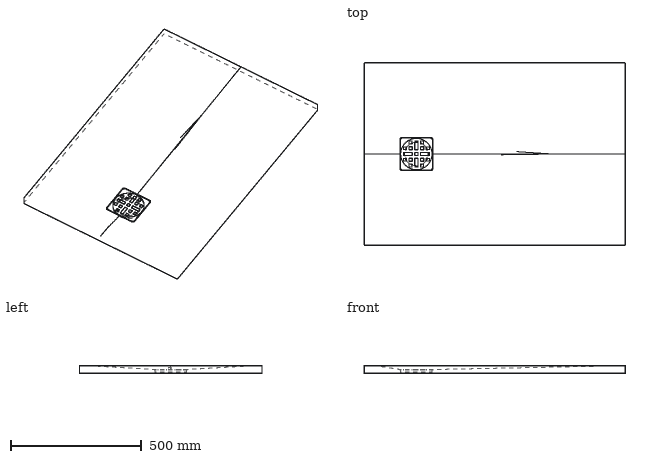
import cadquery as cq
import math

LENGTH = 1000.0
WIDTH = 700.0
HEIGHT = 30.0
CORNER_RADIUS = 5.0
TOP_EDGE_RADIUS = 1.0

RIM_WIDTH = 50.0
RIM_DROP = 1.0
RIM_OVERSHOOT = 10.0

FLOOR_CORNER_RADIUS = 20.0
FLOOR_FALL = 14.0

DRAIN_X = -300.0
RECESS_CORNER_RADIUS = 7.0
SUMP_DIAMETER = 120.0
SUMP_DEPTH = 8.0
OUTLET_DIAMETER = 90.0

GRATE_SIZE = 123.0
GRATE_THICKNESS = 2.0
GRATE_CORNER_RADIUS = 10.0
GRATE_GAP = 1.5
OPENING_WIDTH = 11.0
BAR_WIDTH = 11.0

FLOOR_LENGTH = LENGTH - 2 * RIM_WIDTH
FLOOR_WIDTH = WIDTH - 2 * RIM_WIDTH
FLOOR_TOP_Z = HEIGHT - RIM_DROP
RECESS_SIZE = GRATE_SIZE + 2 * GRATE_GAP
GRATE_TOP_Z = FLOOR_TOP_Z - FLOOR_FALL
LEDGE_Z = GRATE_TOP_Z - GRATE_THICKNESS
SUMP_Z = LEDGE_Z - SUMP_DEPTH
OPENING_PITCH = OPENING_WIDTH + BAR_WIDTH
SLOT_LENGTH = OPENING_PITCH + OPENING_WIDTH
SLOT_OFFSET = 1.5 * OPENING_PITCH

STRAIGHT_STEPS = 16
ARC_STEPS = 8


def straight_points(start, end):
    """Points from start up to, but not including, end, closer together near both ends."""
    (x0, y0), (x1, y1) = start, end
    fractions = [(1 - math.cos(math.pi * i / STRAIGHT_STEPS)) / 2 for i in range(STRAIGHT_STEPS)]
    return [(x0 + (x1 - x0) * f, y0 + (y1 - y0) * f) for f in fractions]


def arc_points(center, radius, start_angle):
    """Points along a clockwise quarter arc, without its last point."""
    angles = [start_angle - math.pi / 2 * i / ARC_STEPS for i in range(ARC_STEPS)]
    return [(center[0] + radius * math.cos(a), center[1] + radius * math.sin(a)) for a in angles]


def smooth_outline(length, width, radius, center_x, z):
    """Rounded rectangle made of two smooth curves that meet on the X axis."""
    left = center_x - length / 2
    right = center_x + length / 2
    back = width / 2
    arc_y = back - radius
    back_half = (
        straight_points((left, 0), (left, arc_y))
        + arc_points((left + radius, arc_y), radius, math.pi)
        + straight_points((left + radius, back), (right - radius, back))
        + arc_points((right - radius, arc_y), radius, math.pi / 2)
        + straight_points((right, arc_y), (right, 0))
        + [(right, 0)]
    )
    front_half = [(x, -y) for x, y in reversed(back_half)]
    numbers = range(len(back_half))
    halves = [
        cq.Edge.makeSpline([cq.Vector(x, y, z) for x, y in half], parameters=numbers)
        for half in (back_half, front_half)
    ]
    return cq.Wire.assembleEdges(halves)


def rounded_block(length, width, height, radius, center_x, bottom_z):
    """Upright block with rounded vertical edges."""
    return (
        cq.Workplane("XY", origin=(center_x, 0, bottom_z))
        .rect(length, width)
        .extrude(height)
        .edges("|Z")
        .fillet(radius)
    )


def drain_cylinder(diameter, bottom_z):
    """Cylinder on the drain axis, from bottom_z up to the grate's seat."""
    return (
        cq.Workplane("XY", origin=(DRAIN_X, 0, bottom_z))
        .circle(diameter / 2)
        .extrude(LEDGE_Z - bottom_z)
    )


def rim_cutter():
    """Space above the sloping rim, widened and raised along the slope to clear the block."""
    raised_z = HEIGHT + RIM_DROP * RIM_OVERSHOOT / RIM_WIDTH
    outer_length = LENGTH + 2 * RIM_OVERSHOOT
    outer_width = WIDTH + 2 * RIM_OVERSHOOT
    outer_radius = CORNER_RADIUS + RIM_OVERSHOOT
    outer = smooth_outline(outer_length, outer_width, outer_radius, 0, raised_z)
    inner = smooth_outline(FLOOR_LENGTH, FLOOR_WIDTH, FLOOR_CORNER_RADIUS, 0, FLOOR_TOP_Z)
    return cq.Workplane(cq.Solid.makeLoft([outer, inner], True))


def floor_cutter():
    """Space above the dished floor, which runs down to the top edge of the grate."""
    upper = smooth_outline(FLOOR_LENGTH, FLOOR_WIDTH, FLOOR_CORNER_RADIUS, 0, FLOOR_TOP_Z)
    lower = smooth_outline(GRATE_SIZE, GRATE_SIZE, GRATE_CORNER_RADIUS, DRAIN_X, GRATE_TOP_Z)
    return cq.Workplane(cq.Solid.makeLoft([upper, lower], True))


def make_tray():
    block = rounded_block(LENGTH, WIDTH, HEIGHT, CORNER_RADIUS, 0, 0)
    tray = block.faces(">Z").edges().fillet(TOP_EDGE_RADIUS)
    recess_height = HEIGHT - LEDGE_Z
    cutters = [
        rim_cutter(),
        floor_cutter(),
        rounded_block(
            RECESS_SIZE, RECESS_SIZE, recess_height, RECESS_CORNER_RADIUS, DRAIN_X, LEDGE_Z
        ),
        drain_cylinder(SUMP_DIAMETER, SUMP_Z),
        drain_cylinder(OUTLET_DIAMETER, 0),
    ]
    for cutter in cutters:
        tray = tray.cut(cutter, clean=False)
    return tray


def grate_openings():
    """Cross of four slots, with square openings at its center and between its arms."""
    p = OPENING_PITCH
    square_centers = [(0, 0)]
    for sx in (-1, 1):
        for sy in (-1, 1):
            square_centers += [(sx * p, sy * p), (2 * sx * p, sy * p), (sx * p, 2 * sy * p)]
    return (
        cq.Workplane("XY", origin=(DRAIN_X, 0, LEDGE_Z))
        .pushPoints(square_centers)
        .rect(OPENING_WIDTH, OPENING_WIDTH)
        .pushPoints([(-SLOT_OFFSET, 0), (SLOT_OFFSET, 0)])
        .rect(SLOT_LENGTH, OPENING_WIDTH)
        .pushPoints([(0, -SLOT_OFFSET), (0, SLOT_OFFSET)])
        .rect(OPENING_WIDTH, SLOT_LENGTH)
        .extrude(GRATE_THICKNESS)
    )


def make_grate():
    plate = rounded_block(
        GRATE_SIZE, GRATE_SIZE, GRATE_THICKNESS, GRATE_CORNER_RADIUS, DRAIN_X, LEDGE_Z
    )
    return plate.cut(grate_openings())


tray = make_tray()
grate = make_grate()
result = cq.Compound.makeCompound([tray.solids().val(), grate.solids().val()])